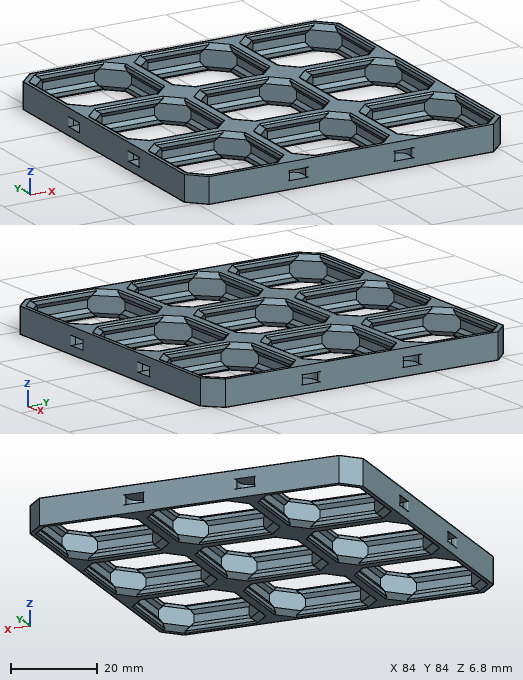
import cadquery as cq
import math

CELLS_PER_SIDE = 3
SIDE = 84.0
THICKNESS = 6.8
PITCH = SIDE / CELLS_PER_SIDE
OUTER_CORNER_LEG = 4.2

LIP_INSET = 1.5
EDGE_CHAMFER = 0.4
GROOVE_DEPTH = 0.7
GROOVE_RAMP_HEIGHT = 1.0
GROOVE_FLOOR_HEIGHT = 2.0

CORNER_WALL = 2.6
CORNER_CHAMFER = CORNER_WALL / 2

POCKET_RADIUS = 2.6
POCKET_CENTRE_DEPTH = 2.5
POCKET_HEIGHT = 2.4
NECK_HALF_WIDTH = 2.35
MOUTH_ROUND = 0.25
NECK_BULGE_RADIUS = 2.7


def cell_sections():
    """Half widths and heights of the cell opening above the mid plane, for both wall kinds."""
    top = THICKNESS / 2
    lip = PITCH / 2 - LIP_INSET
    groove = lip + GROOVE_DEPTH
    floor_end = GROOVE_FLOOR_HEIGHT / 2
    straight = [
        (groove, floor_end),
        (lip, floor_end + GROOVE_RAMP_HEIGHT),
        (lip, top - EDGE_CHAMFER),
        (lip + EDGE_CHAMFER, top),
    ]
    flat = (PITCH - OUTER_CORNER_LEG) / math.sqrt(2) - CORNER_WALL
    diagonal = [
        (flat, top - CORNER_CHAMFER),
        (flat + CORNER_CHAMFER, top),
    ]
    return straight, diagonal


def opening_prism(section, angle):
    """Long prism of the section mirrored in X and Z, turned about Z by the angle."""
    right = [(x, -z) for x, z in reversed(section)] + section
    left = [(-x, z) for x, z in reversed(right)]
    prism = cq.Workplane("XZ").polyline(right + left).close().extrude(PITCH, both=True)
    return prism.rotate((0, 0, 0), (0, 0, 1), angle)


def make_cell_opening():
    straight, diagonal = cell_sections()
    opening = opening_prism(straight, 0)
    opening = opening.intersect(opening_prism(straight, 90))
    opening = opening.intersect(opening_prism(diagonal, 45))
    return opening.intersect(opening_prism(diagonal, 135))


def make_pocket():
    """Round-ended pocket with a narrowed mouth, opening at the middle of the -Y side."""
    mouth_half = NECK_HALF_WIDTH + MOUTH_ROUND
    widening = POCKET_RADIUS - NECK_HALF_WIDTH
    bulge_angle = math.acos(1 - widening / NECK_BULGE_RADIUS)
    neck_end = MOUTH_ROUND + NECK_BULGE_RADIUS * math.sin(bulge_angle)
    bulge_middle = (
        NECK_HALF_WIDTH + NECK_BULGE_RADIUS * (1 - math.cos(bulge_angle / 2)),
        MOUTH_ROUND + NECK_BULGE_RADIUS * math.sin(bulge_angle / 2),
    )
    round_middle = (
        mouth_half - MOUTH_ROUND * math.sin(math.pi / 4),
        MOUTH_ROUND * (1 - math.cos(math.pi / 4)),
    )
    outline = (
        cq.Workplane("XY", origin=(0, -SIDE / 2, -POCKET_HEIGHT / 2))
        .moveTo(0, 0)
        .lineTo(mouth_half, 0)
        .threePointArc(round_middle, (NECK_HALF_WIDTH, MOUTH_ROUND))
        .threePointArc(bulge_middle, (POCKET_RADIUS, neck_end))
        .lineTo(POCKET_RADIUS, POCKET_CENTRE_DEPTH)
        .radiusArc((0, POCKET_CENTRE_DEPTH + POCKET_RADIUS), -POCKET_RADIUS)
        .mirrorY()
    )
    return outline.extrude(POCKET_HEIGHT)


panel = cq.Workplane("XY").box(SIDE, SIDE, THICKNESS).edges("|Z").chamfer(OUTER_CORNER_LEG)

cell_opening = make_cell_opening()
for column in range(CELLS_PER_SIDE):
    for row in range(CELLS_PER_SIDE):
        x = (column + 0.5) * PITCH - SIDE / 2
        y = (row + 0.5) * PITCH - SIDE / 2
        panel = panel.cut(cell_opening.translate((x, y, 0)))

pocket = make_pocket()
for wall in range(1, CELLS_PER_SIDE):
    wall_offset = wall * PITCH - SIDE / 2
    side_pocket = pocket.translate((wall_offset, 0, 0))
    for angle in (0, 90, 180, 270):
        panel = panel.cut(side_pocket.rotate((0, 0, 0), (0, 0, 1), angle))

result = panel